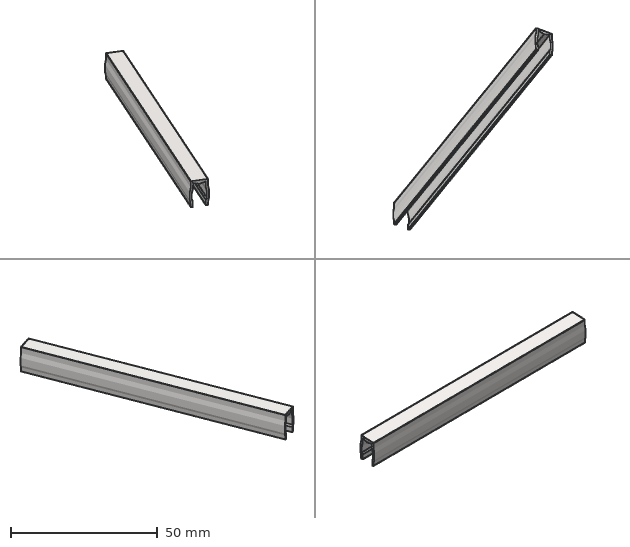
import cadquery as cq

length = 100.0
height = 10.0
bulge_half_width = 3.45

top_half_width = 3.1
top_chamfer = 0.1
bulge_slope_top_z = 7.6
bulge_top_z = 5.8
bulge_bottom_z = 2.8
foot_top_z = 1.9
foot_half_width = 3.2
foot_tip_half_width = 3.1
foot_chamfer = 0.2

inner_top_half_width = 2.2
inner_bulge_half_width = 2.65
inner_foot_half_width = 2.3
inner_slope_top_z = 7.3
inner_bulge_top_z = 5.3
inner_bulge_bottom_z = 2.9
inner_foot_top_z = 2.1
roof_edge_thickness = 0.9
roof_center_thickness = 1.5

half_section = [
    (top_half_width - top_chamfer, height),
    (top_half_width, height - top_chamfer),
    (top_half_width, bulge_slope_top_z),
    (bulge_half_width, bulge_top_z),
    (bulge_half_width, bulge_bottom_z),
    (foot_half_width, foot_top_z),
    (foot_tip_half_width, foot_chamfer),
    (foot_tip_half_width - foot_chamfer, 0),
    (inner_foot_half_width, 0),
    (inner_foot_half_width, inner_foot_top_z),
    (inner_bulge_half_width, inner_bulge_bottom_z),
    (inner_bulge_half_width, inner_bulge_top_z),
    (inner_top_half_width, inner_slope_top_z),
    (inner_top_half_width, height - roof_edge_thickness),
]

roof_center = (0, height - roof_center_thickness)
mirrored_half = [(-y, z) for y, z in reversed(half_section)]
section = half_section + [roof_center] + mirrored_half

result = (
    cq.Workplane("YZ", origin=(-length / 2, 0, 0))
    .polyline(section)
    .close()
    .extrude(length)
)